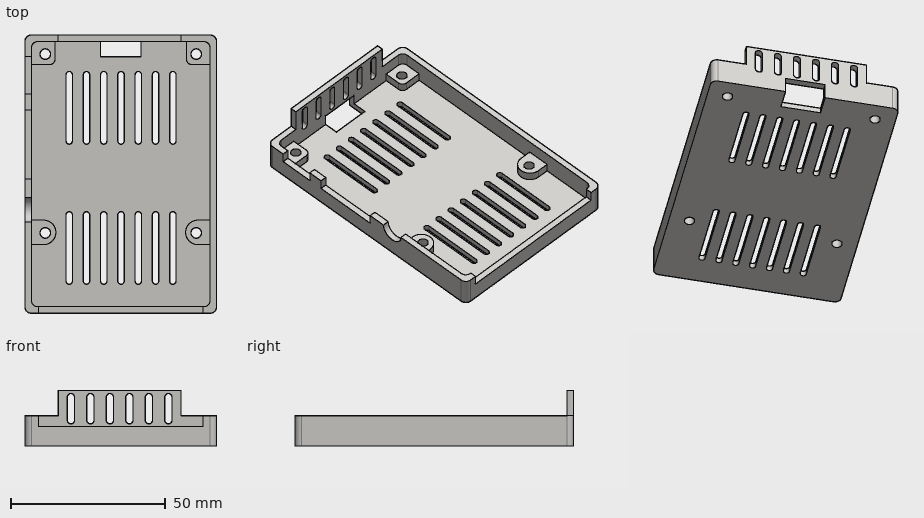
import cadquery as cq

WIDTH = 62.0
LENGTH = 90.0
RIM_HEIGHT = 9.8
WALL = 2.2
FLOOR = 2.2
OUTER_RADIUS = 2.2
INNER_RADIUS = 2.0

TAB_TOP = 18.0
TAB_WIDTH = 39.8
TAB_CENTRE_X = -0.4
TAB_SLOT_COUNT = 6
TAB_SLOT_PITCH = 6.3
TAB_SLOT_WIDTH = 2.25
TAB_SLOT_HEIGHT = 9.7
TAB_SLOT_CENTRE_Z = 12.1

VENT_COUNT = 7
VENT_PITCH = 5.6
VENT_WIDTH = 2.0
VENT_LENGTH = 23.4
VENT_CENTRE_X = 0.1
VENT_ROWS_Y = (21.4, -23.85)

HOLE_DIAMETER = 3.3
HOLE_X = 24.4
REAR_HOLE_Y = 38.8
FRONT_HOLE_Y = -19.0
BOSS_HEIGHT = 3.0
REAR_BOSS_INNER_X = 21.2
REAR_BOSS_FRONT_Y = 35.4
REAR_BOSS_RADIUS = 1.8
FRONT_BOSS_INNER_X = 21.0
FRONT_BOSS_Y = -18.8
FRONT_BOSS_WIDTH = 7.9

NOTCH_DEPTH = 3.5
FRONT_NOTCH_WIDTH = 53.1
SIDE_NOTCHES = ((25.9, 38.0), (-1.5, 20.8))
CABLE_NOTCH_RADIUS = 4.0
CABLE_NOTCH_Y = -11.5

OPENING_WIDTH = 13.05
OPENING_FRONT_Y = 38.0
OPENING_TOP = 6.0

HALF_WIDTH = WIDTH / 2
HALF_LENGTH = LENGTH / 2
INNER_HALF_WIDTH = HALF_WIDTH - WALL
INNER_HALF_LENGTH = HALF_LENGTH - WALL
BOSS_TOP = FLOOR + BOSS_HEIGHT
NOTCH_FLOOR = RIM_HEIGHT - NOTCH_DEPTH
UPRIGHT_SLOT = 90


def block(x_range, y_range, z_range):
    """Box spanning the given (low, high) ranges."""
    lows, highs = zip(x_range, y_range, z_range)
    sizes = [high - low for low, high in zip(lows, highs)]
    return cq.Workplane("XY").box(*sizes, centered=False).translate(lows)


def tray():
    """Open tray with rounded vertical corners inside and out."""
    body = cq.Workplane("XY").box(WIDTH, LENGTH, RIM_HEIGHT, centered=(True, True, False))
    body = body.edges("|Z").fillet(OUTER_RADIUS)
    cavity = cq.Workplane("XY").box(
        2 * INNER_HALF_WIDTH, 2 * INNER_HALF_LENGTH, RIM_HEIGHT, centered=(True, True, False)
    )
    cavity = cavity.edges("|Z").fillet(INNER_RADIUS)
    return body.cut(cavity.translate((0, 0, FLOOR)))


def rear_tab():
    """Plate that raises the middle of the rear wall."""
    left = TAB_CENTRE_X - TAB_WIDTH / 2
    return block((left, left + TAB_WIDTH), (INNER_HALF_LENGTH, HALF_LENGTH), (FLOOR, TAB_TOP))


def rear_boss():
    """Right-hand rear boss: a corner block that overlaps the walls by half their thickness."""
    boss = block(
        (REAR_BOSS_INNER_X, HALF_WIDTH - WALL / 2),
        (REAR_BOSS_FRONT_Y, HALF_LENGTH - WALL / 2),
        (0, BOSS_TOP),
    )
    return boss.edges("|Z and <X and <Y").fillet(REAR_BOSS_RADIUS)


def front_boss():
    """Right-hand front boss: a round-nosed tongue reaching in from the side wall."""
    nose_radius = FRONT_BOSS_WIDTH / 2
    nose_x = FRONT_BOSS_INNER_X + nose_radius
    side_x = HALF_WIDTH - WALL / 2
    return (
        cq.Workplane("XY")
        .moveTo(side_x, FRONT_BOSS_Y + nose_radius)
        .lineTo(nose_x, FRONT_BOSS_Y + nose_radius)
        .threePointArc((FRONT_BOSS_INNER_X, FRONT_BOSS_Y), (nose_x, FRONT_BOSS_Y - nose_radius))
        .lineTo(side_x, FRONT_BOSS_Y - nose_radius)
        .close()
        .extrude(BOSS_TOP)
    )


def screw_holes():
    """Four holes running through the bosses and the floor."""
    centres = [(x, y) for x in (-HOLE_X, HOLE_X) for y in (REAR_HOLE_Y, FRONT_HOLE_Y)]
    return cq.Workplane("XY").pushPoints(centres).circle(HOLE_DIAMETER / 2).extrude(BOSS_TOP)


def floor_vents():
    """Two rows of lengthwise slots through the floor."""
    first_x = VENT_CENTRE_X - VENT_PITCH * (VENT_COUNT - 1) / 2
    centres = [(first_x + i * VENT_PITCH, y) for y in VENT_ROWS_Y for i in range(VENT_COUNT)]
    outline = cq.Workplane("XY").pushPoints(centres).slot2D(VENT_LENGTH, VENT_WIDTH, UPRIGHT_SLOT)
    return outline.extrude(FLOOR)


def tab_slots():
    """Row of upright slots through the rear tab."""
    first_x = TAB_CENTRE_X - TAB_SLOT_PITCH * (TAB_SLOT_COUNT - 1) / 2
    centres = [(first_x + i * TAB_SLOT_PITCH, TAB_SLOT_CENTRE_Z) for i in range(TAB_SLOT_COUNT)]
    return (
        cq.Workplane("XZ", origin=(0, HALF_LENGTH, 0))
        .pushPoints(centres)
        .slot2D(TAB_SLOT_HEIGHT, TAB_SLOT_WIDTH, UPRIGHT_SLOT)
        .extrude(WALL)
    )


def front_notch():
    """Wide shallow step in the front wall."""
    half = FRONT_NOTCH_WIDTH / 2
    return block((-half, half), (-HALF_LENGTH, -INNER_HALF_LENGTH), (NOTCH_FLOOR, RIM_HEIGHT))


def side_notch(y_range):
    """Rectangular step in the left wall."""
    return block((-HALF_WIDTH, -INNER_HALF_WIDTH), y_range, (NOTCH_FLOOR, RIM_HEIGHT))


def cable_notch():
    """Half-round notch in the left rim."""
    return (
        cq.Workplane("YZ", origin=(-HALF_WIDTH, 0, 0))
        .center(CABLE_NOTCH_Y, RIM_HEIGHT)
        .circle(CABLE_NOTCH_RADIUS)
        .extrude(WALL)
    )


def connector_opening():
    """Cut through the floor and out through the foot of the rear wall."""
    half = OPENING_WIDTH / 2
    return block((-half, half), (OPENING_FRONT_Y, HALF_LENGTH), (0, OPENING_TOP))


result = tray().union(rear_tab())
for boss in (rear_boss(), front_boss()):
    result = result.union(boss).union(boss.mirror("YZ"))

result = result.cut(screw_holes()).cut(floor_vents()).cut(tab_slots())
result = result.cut(front_notch()).cut(cable_notch()).cut(connector_opening())
for notch_range in SIDE_NOTCHES:
    result = result.cut(side_notch(notch_range))